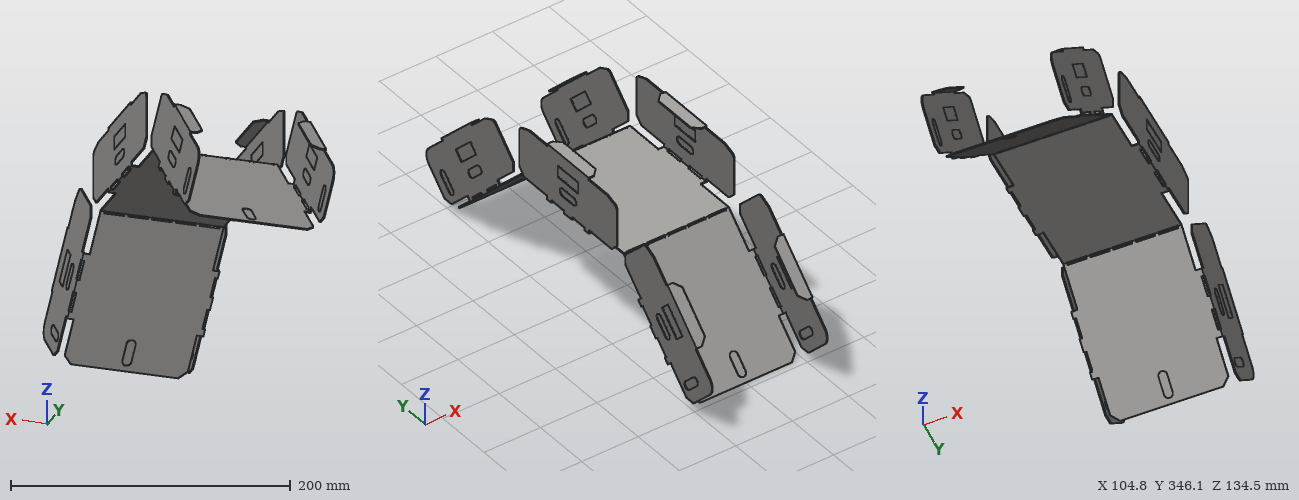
import cadquery as cq
import math

overall_width = 104.79
overall_length = 346.09
overall_height = 134.46
thickness = 1.0
bend_angle = 45.0

fold_y = 60.0
floor_width = 93.0
floor_corner = 6.0
panel_centre = 60.0

wall_height = 50.0
shoulder = 48.0
middle_wall_bottom = 3.2
end_wall_bottom = 4.7
wall_half = 59.0
end_wall_start = 1.6
lower_chamfer = 6.0
taper_length = 11.5
taper_drop = 4.0
taper_radius = 4.0
end_radius = 10.0

tab_length = 51.0
flange_length = 50.0
flange_width = 10.4
flange_chamfer = 5.6

slit_length = 15.0
floor_bridge = 3.0
floor_slit_count = 5
floor_slit_width = 1.3
tab_slit_offset = 12.5
tab_slit_height = 2.2
tab_slit_depth = 2.0

mark_depth = 0.1
slot_length = 20.0
slot_width = 6.8
wall_slot_height = 17.5
label_length = 25.0
label_height = 10.0
label_centre_height = 33.0
end_slot_position = 105.4
end_slot_height = 20.0

pick_margin = 1.0

middle_outer = overall_width / 2
end_outer = middle_outer - thickness
slope = math.radians(bend_angle)
drop = overall_height - wall_height + thickness
end_floor_length = drop / math.sin(slope) - thickness / math.tan(slope)
corner_reach = math.sqrt(2) * (overall_length / 2 - fold_y)
end_wall_stop = corner_reach + thickness - shoulder + (2 - math.sqrt(2)) * end_radius
mitre_setback = thickness * math.tan(slope / 2)


def box(x0, x1, y0, y1, z0, z1):
    return cq.Workplane("XY").box(x1 - x0, y1 - y0, z1 - z0, centered=False).translate((x0, y0, z0))


def both_sides(shape):
    return shape.union(shape.mirror("YZ"))


def place_end(shape):
    """Tilt a shape, built along Y from the fold, down into its place on the +Y end."""
    pivot = (0, 0, thickness)
    tilted = shape.rotate(pivot, (1, 0, thickness), -bend_angle)
    return tilted.translate((0, fold_y, 0))


def both_ends(shape):
    placed = place_end(shape)
    return placed.union(placed.mirror("XZ"))


def middle_wall_outline():
    half = [
        (wall_half - lower_chamfer, middle_wall_bottom),
        (wall_half, middle_wall_bottom + lower_chamfer),
        (wall_half, shoulder - taper_drop),
        (wall_half - taper_length, shoulder),
    ]
    return half + [(-y, z) for y, z in reversed(half)]


def end_wall_outline():
    return [
        (end_wall_stop - lower_chamfer, end_wall_bottom),
        (end_wall_stop, end_wall_bottom + lower_chamfer),
        (end_wall_stop, shoulder),
        (end_wall_start + taper_length, shoulder),
        (end_wall_start, shoulder - taper_drop),
        (end_wall_start, end_wall_bottom + lower_chamfer),
        (end_wall_start + lower_chamfer, end_wall_bottom),
    ]


def round_corner(plate, y, z, radius):
    corner = cq.selectors.BoxSelector(
        (-overall_width, y - pick_margin, z - pick_margin),
        (overall_width, y + pick_margin, z + pick_margin),
    )
    return plate.edges("|X").edges(corner).fillet(radius)


def sheet(outline, outer):
    """Upright plate on the +X side with its outer face at x = outer."""
    plate = cq.Workplane("YZ").polyline(outline).close().extrude(thickness)
    return plate.translate((outer - thickness, 0, 0))


def folded_tab(outer, centre):
    """Floor tab, upright strip and top flange on the +X side, slit along the lower fold."""
    start = centre - tab_length / 2
    stop = centre + tab_length / 2
    tab = box(0, outer, start, stop, 0, thickness)
    tab = tab.union(box(outer - thickness, outer, start, stop, 0, shoulder))
    flange_start = centre - flange_length / 2
    flange_stop = centre + flange_length / 2
    flange = box(outer - flange_width, outer, flange_start, flange_stop, wall_height - thickness, wall_height)
    flange = flange.edges("|Z and <X").chamfer(flange_chamfer)
    rim = box(outer - thickness, outer, flange_start, flange_stop, 0, wall_height)
    tab = tab.union(flange).union(rim)
    for side in (-1, 1):
        middle = centre + side * tab_slit_offset
        slit = box(
            outer - tab_slit_depth, outer,
            middle - slit_length / 2, middle + slit_length / 2,
            0, tab_slit_height,
        )
        tab = tab.cut(slit)
    return tab


def wall_mark(outline, outer):
    """Cutter that recesses an outline, drawn in YZ, into both faces of a +X wall."""
    cutter = outline.extrude(mark_depth)
    inner_cut = cutter.translate((outer - thickness, 0, 0))
    outer_cut = cutter.translate((outer - mark_depth, 0, 0))
    return inner_cut.union(outer_cut)


def wall_slot(y, z, angle):
    return cq.Workplane("YZ").center(y, z).slot2D(slot_length, slot_width, angle)


def mark_wall(wall, outer, centre):
    wall = wall.cut(wall_mark(wall_slot(centre, wall_slot_height, 0), outer))
    label = cq.Workplane("YZ").center(centre, label_centre_height).rect(label_length, label_height)
    return wall.cut(wall_mark(label, outer))


def middle_wall():
    wall = sheet(middle_wall_outline(), middle_outer)
    for side in (-1, 1):
        wall = round_corner(wall, side * wall_half, shoulder - taper_drop, taper_radius)
    wall = wall.union(folded_tab(middle_outer, 0))
    return mark_wall(wall, middle_outer, 0)


def end_wall():
    wall = sheet(end_wall_outline(), end_outer)
    wall = round_corner(wall, end_wall_start, shoulder - taper_drop, taper_radius)
    wall = round_corner(wall, end_wall_stop, shoulder, end_radius)
    wall = wall.union(folded_tab(end_outer, panel_centre))
    wall = mark_wall(wall, end_outer, panel_centre)
    return wall.cut(wall_mark(wall_slot(end_slot_position, end_slot_height, 90), end_outer))


def middle_floor():
    """Flat strip whose ends are mitred to meet the sloping floors."""
    lower_y = fold_y - mitre_setback
    outline = [(-lower_y, 0), (lower_y, 0), (fold_y, thickness), (-fold_y, thickness)]
    return cq.Workplane("YZ").polyline(outline).close().extrude(floor_width / 2, both=True)


def end_floor():
    """Flat strip, still level, mitred at the fold and chamfered at its free corners."""
    outline = [
        (0, thickness),
        (mitre_setback, 0),
        (end_floor_length, 0),
        (end_floor_length, thickness),
    ]
    floor = cq.Workplane("YZ").polyline(outline).close().extrude(floor_width / 2, both=True)
    free_end = cq.selectors.BoxSelector(
        (-floor_width, end_floor_length - pick_margin, -pick_margin),
        (floor_width, end_floor_length + pick_margin, thickness + pick_margin),
    )
    floor = floor.edges("|Z").edges(free_end).chamfer(floor_corner)
    slot = cq.Workplane("XY").center(0, end_slot_position).slot2D(slot_length, slot_width, 90)
    mark = slot.extrude(mark_depth)
    return floor.cut(mark).cut(mark.translate((0, 0, thickness - mark_depth)))


def fold_slits():
    """Cutters that perforate the +Y fold of the floor."""
    pitch = slit_length + floor_bridge
    half_width = floor_slit_width / 2
    slits = cq.Workplane("XY")
    for index in range(floor_slit_count):
        centre = (index - (floor_slit_count - 1) / 2) * pitch
        slits = slits.union(box(
            centre - slit_length / 2, centre + slit_length / 2,
            fold_y - half_width, fold_y + half_width,
            -2 * thickness, 2 * thickness,
        ))
    return slits


middle_panel = middle_floor().union(both_sides(middle_wall()))
end_panel = end_floor().union(both_sides(end_wall()))
slits = fold_slits()
result = middle_panel.union(both_ends(end_panel)).cut(slits).cut(slits.mirror("XZ"))